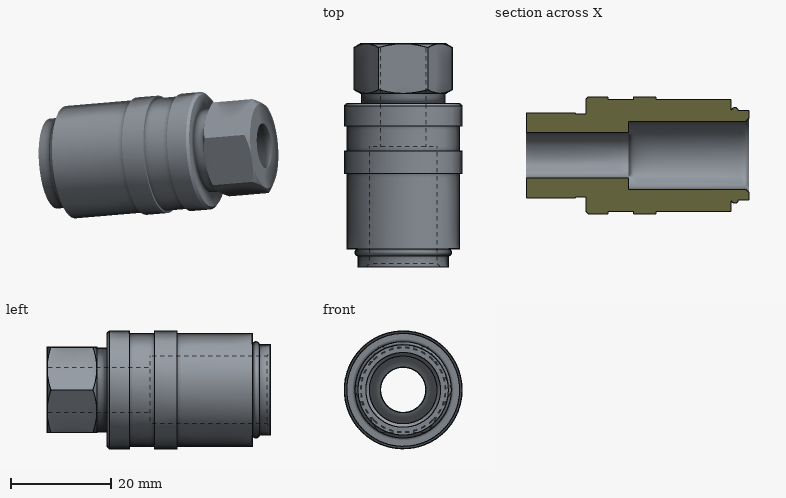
import cadquery as cq
import math

TOTAL_LENGTH = 44.5
HEX_LENGTH = 9.9
NECK_LENGTH = 2.0
COLLAR_LENGTH = 4.5
GROOVE_LENGTH = 5.0
BAND_LENGTH = 4.5
NOSE_LENGTH = 3.6

HEX_ACROSS_FLATS = 17.0
NECK_DIAMETER = 16.7
COLLAR_DIAMETER = 23.5
COLLAR_CHAMFER = 0.5
BODY_DIAMETER = 22.5
NOSE_DIAMETER = 18.0
HEX_CHAMFER_ANGLE = math.radians(30)

RING_DIAMETER = 19.2
RING_WIDTH = 1.4

SOCKET_DIAMETER = 13.5
SOCKET_MOUTH_DIAMETER = 14.9
SOCKET_CHAMFER_LENGTH = 0.7
SOCKET_DEPTH = 24.0
PASSAGE_DIAMETER = 9.0

HEX_START = TOTAL_LENGTH - HEX_LENGTH
COLLAR_BACK = HEX_START - NECK_LENGTH
COLLAR_FRONT = COLLAR_BACK - COLLAR_LENGTH
BAND_BACK = COLLAR_FRONT - GROOVE_LENGTH
BAND_FRONT = BAND_BACK - BAND_LENGTH


def revolve_about_y(profile):
    """Turn a closed (radius, Y) profile around the Y axis."""
    return profile.close().revolve(360, (0, 0, 0), (0, 1, 0))


def make_body():
    """Stepped sleeve, nose with its ring, and neck, as one solid of revolution."""
    nose_radius = NOSE_DIAMETER / 2
    body_radius = BODY_DIAMETER / 2
    collar_radius = COLLAR_DIAMETER / 2
    neck_radius = NECK_DIAMETER / 2
    ring_front = NOSE_LENGTH - RING_WIDTH
    ring_crest = (RING_DIAMETER / 2, NOSE_LENGTH - RING_WIDTH / 2)
    profile = (
        cq.Workplane("XY")
        .lineTo(nose_radius, 0)
        .lineTo(nose_radius, ring_front)
        .threePointArc(ring_crest, (nose_radius, NOSE_LENGTH))
        .lineTo(body_radius, NOSE_LENGTH)
        .lineTo(body_radius, BAND_FRONT)
        .lineTo(collar_radius, BAND_FRONT)
        .lineTo(collar_radius, BAND_BACK)
        .lineTo(body_radius, BAND_BACK)
        .lineTo(body_radius, COLLAR_FRONT)
        .lineTo(collar_radius, COLLAR_FRONT)
        .lineTo(collar_radius, COLLAR_BACK - COLLAR_CHAMFER)
        .lineTo(collar_radius - COLLAR_CHAMFER, COLLAR_BACK)
        .lineTo(neck_radius, COLLAR_BACK)
        .lineTo(neck_radius, HEX_START)
        .lineTo(0, HEX_START)
    )
    return revolve_about_y(profile)


def make_hex():
    """Hexagon with flats facing +Z and -Z, its corners chamfered at both ends."""
    flat_radius = HEX_ACROSS_FLATS / 2
    corner_radius = flat_radius / math.cos(math.pi / 6)
    chamfer_length = (corner_radius - flat_radius) * math.tan(HEX_CHAMFER_ANGLE)
    prism = (
        cq.Workplane("XZ", origin=(0, HEX_START, 0))
        .polygon(6, 2 * corner_radius)
        .extrude(-HEX_LENGTH)
    )
    envelope = (
        cq.Workplane("XY")
        .moveTo(0, HEX_START)
        .lineTo(flat_radius, HEX_START)
        .lineTo(corner_radius, HEX_START + chamfer_length)
        .lineTo(corner_radius, TOTAL_LENGTH - chamfer_length)
        .lineTo(flat_radius, TOTAL_LENGTH)
        .lineTo(0, TOTAL_LENGTH)
    )
    return prism.intersect(revolve_about_y(envelope))


def make_bore():
    """Chamfered front socket stepping down to the through passage."""
    socket_radius = SOCKET_DIAMETER / 2
    passage_radius = PASSAGE_DIAMETER / 2
    profile = (
        cq.Workplane("XY")
        .lineTo(SOCKET_MOUTH_DIAMETER / 2, 0)
        .lineTo(socket_radius, SOCKET_CHAMFER_LENGTH)
        .lineTo(socket_radius, SOCKET_DEPTH)
        .lineTo(passage_radius, SOCKET_DEPTH)
        .lineTo(passage_radius, TOTAL_LENGTH)
        .lineTo(0, TOTAL_LENGTH)
    )
    return revolve_about_y(profile)


result = make_body().union(make_hex()).cut(make_bore())